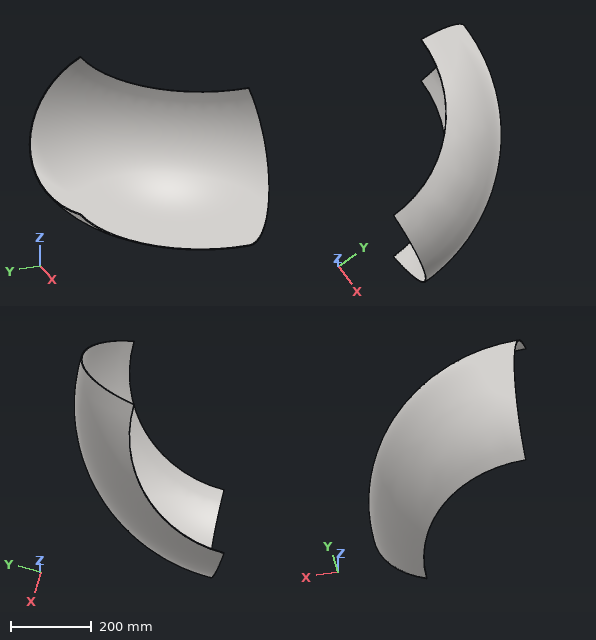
import cadquery as cq
import math

OUTER_RADIUS = 458.64
HEIGHT = 436.86
ARC_RADIUS = 243.0
WALL = 3.0
SWEEP_ANGLE = 90.0

ARC_CENTER_X = OUTER_RADIUS - ARC_RADIUS
HALF_ANGLE = math.asin(HEIGHT / 2 / ARC_RADIUS)


def arc_point(radius, angle):
    """Point in the XZ plane on a profile arc, at an angle above the X axis."""
    return (ARC_CENTER_X + radius * math.cos(angle), radius * math.sin(angle))


def make_profile():
    """Thin curved band in the XZ plane, bulging away from the Z axis."""
    inner_radius = ARC_RADIUS - WALL
    return (
        cq.Workplane("XZ")
        .moveTo(*arc_point(ARC_RADIUS, -HALF_ANGLE))
        .threePointArc(arc_point(ARC_RADIUS, 0), arc_point(ARC_RADIUS, HALF_ANGLE))
        .lineTo(*arc_point(inner_radius, HALF_ANGLE))
        .threePointArc(arc_point(inner_radius, 0), arc_point(inner_radius, -HALF_ANGLE))
        .close()
    )


result = make_profile().revolve(SWEEP_ANGLE, (0, 0, 0), (0, 1, 0))